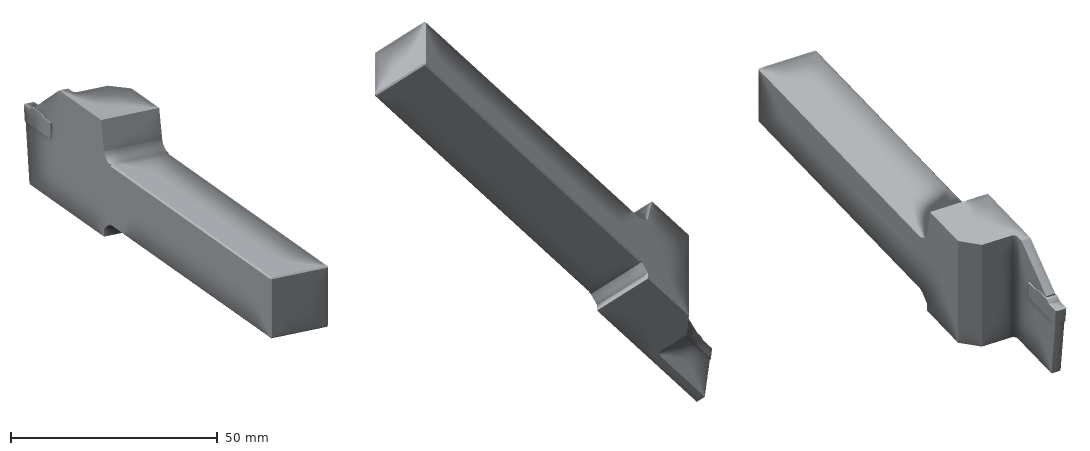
import cadquery as cq
import math

overall_length = 125.0
holder_width = 16.0
head_height = 30.0
shank_bottom = 4.0
shank_top = 20.0
shank_chamfer = 0.4

front_relief_angle = 7.0
blade_setback = 0.2
head_top_start = 17.8
head_top_end = 39.0
head_back = 40.5
heel_height = 2.0
heel_end = 42.9
neck_radius = 3.2
neck_end = 43.6

blade_thickness = 2.5
blade_length = 20.8
blade_root_radius = 1.2
head_corner_chamfer = 4.2

insert_overhang = 0.2
insert_bottom = 15.9
insert_land_end = 3.5
insert_crest_start = 4.5
insert_crest_end = 9.5
insert_crest_top = 20.8
insert_step_end = 10.2
insert_rear_top = 20.1
insert_back_bottom = 13.8
insert_back_top = 13.9
insert_corner_radius = 0.4
ramp_foot = 5.4
ramp_foot_height = 21.1

pocket_clearance = 0.2
relief_bottom = 17.8


def front_x(z):
    """X of the leaning front face at height z; the tip is level with the shank top."""
    return (shank_top - z) * math.tan(math.radians(front_relief_angle))


def xz_prism(points, y_start, y_end):
    """Extrude an XZ outline from y_start to y_end."""
    plane = cq.Workplane("XZ", origin=(0, y_start, 0))
    return plane.polyline(points).close().extrude(-(y_end - y_start))


def insert_outline():
    return [
        (front_x(insert_bottom), insert_bottom),
        (front_x(shank_top), shank_top),
        (insert_land_end, shank_top),
        (insert_crest_start, insert_crest_top),
        (insert_crest_end, insert_crest_top),
        (insert_step_end, insert_rear_top),
        (insert_back_top, insert_rear_top),
        (insert_back_bottom, insert_bottom),
    ]


def make_insert():
    insert = xz_prism(insert_outline(), -insert_overhang, blade_thickness + insert_overhang)
    return insert.faces("<X").edges("<Y or >Y").fillet(insert_corner_radius)


def make_head():
    neck_center_z = shank_top + neck_radius
    neck_start_angle = math.asin((neck_end - head_back) / neck_radius)

    def neck_point(angle):
        """Point on the neck arc, at an angle measured back from its lowest point."""
        return (
            neck_end - neck_radius * math.sin(angle),
            neck_center_z - neck_radius * math.cos(angle),
        )

    outline = (
        cq.Workplane("XZ")
        .moveTo(front_x(0) + blade_setback, 0)
        .lineTo(head_back, 0)
        .lineTo(head_back, heel_height)
        .lineTo(heel_end, shank_bottom)
        .lineTo(neck_end, shank_bottom)
        .lineTo(neck_end, shank_top)
        .threePointArc(neck_point(neck_start_angle / 2), neck_point(neck_start_angle))
        .lineTo(head_top_end, head_height)
        .lineTo(head_top_start, head_height)
        .lineTo(ramp_foot, ramp_foot_height)
        .lineTo(ramp_foot, insert_bottom)
        .lineTo(front_x(insert_bottom) + blade_setback, insert_bottom)
        .close()
    )
    return outline.extrude(-holder_width)


def make_shank():
    shank = cq.Workplane("XY").box(
        overall_length - neck_end, holder_width, shank_top - shank_bottom, centered=False
    )
    shank = shank.edges("|X or >X").chamfer(shank_chamfer)
    return shank.translate((neck_end, 0, shank_bottom))


def blade_clearance():
    """Material removed behind the blade, leaving a root fillet and a cut head corner."""
    reach = -1.2
    cut = (
        cq.Workplane("XY")
        .moveTo(reach, blade_thickness)
        .lineTo(blade_length - blade_root_radius, blade_thickness)
        .radiusArc((blade_length, blade_thickness + blade_root_radius), -blade_root_radius)
        .lineTo(blade_length, holder_width - head_corner_chamfer)
        .lineTo(blade_length + head_corner_chamfer, holder_width)
        .lineTo(reach, holder_width)
        .close()
    )
    return cut.extrude(head_height)


def pocket_relief():
    """Narrow gap over the rear of the insert and down the top of its back face."""
    back = insert_back_top + pocket_clearance
    outline = [
        (insert_step_end, insert_rear_top - pocket_clearance),
        (insert_step_end, insert_rear_top + pocket_clearance),
        (back, insert_rear_top + pocket_clearance),
        (back, relief_bottom),
        (insert_back_bottom, relief_bottom),
    ]
    return xz_prism(outline, 0, blade_thickness)


def make_holder(insert):
    holder = make_head().cut(blade_clearance())
    holder = holder.cut(insert).cut(pocket_relief())
    return holder.union(make_shank())


insert = make_insert()
holder = make_holder(insert)

result = cq.Compound.makeCompound([holder.val(), insert.val()])